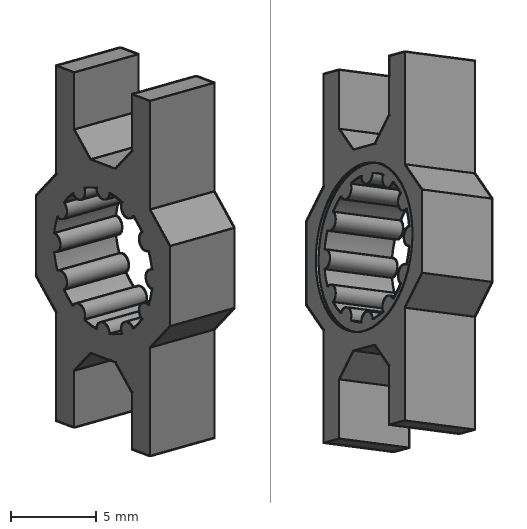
import cadquery as cq
import math

height = 22.0
width = 12.0
thickness = 5.0
octagon_sides = 8

arms_width = 8.4
slot_width = 5.15
slot_chamfer = 1.47
slot_floor = width / 2

bore_radius = 4.4
rib_radius = 0.6
rib_count = 12

recess_radius = 5.0
recess_depth = 0.2


def extrude_along_y(sketch):
    """Extrude an XZ outline, centred on the XZ plane."""
    return sketch.extrude(thickness / 2, both=True)


def octagon_body():
    """Regular octagon with flats facing X and Z."""
    flat = width / 2
    corner = flat * math.tan(math.pi / octagon_sides)
    points = [
        (flat, -corner),
        (flat, corner),
        (corner, flat),
        (-corner, flat),
        (-flat, corner),
        (-flat, -corner),
        (-corner, -flat),
        (corner, -flat),
    ]
    return extrude_along_y(cq.Workplane("XZ").polyline(points).close())


def arms_block():
    """Full-height bar from which the fork arms are formed."""
    return extrude_along_y(cq.Workplane("XZ").rect(arms_width, height))


def fork_slot(side):
    """Open slot with chamfered floor corners; side is +1 for the top, -1 for the bottom."""
    half_slot = slot_width / 2
    half_floor = half_slot - slot_chamfer
    floor_z = side * slot_floor
    wall_z = side * (slot_floor + slot_chamfer)
    end_z = side * height / 2
    points = [
        (-half_slot, end_z),
        (-half_slot, wall_z),
        (-half_floor, floor_z),
        (half_floor, floor_z),
        (half_slot, wall_z),
        (half_slot, end_z),
    ]
    return extrude_along_y(cq.Workplane("XZ").polyline(points).close())


def ribbed_bore():
    """Through bore with round ribs, centred on the bore wall, left standing."""
    bore = extrude_along_y(cq.Workplane("XZ").circle(bore_radius))
    ribs = extrude_along_y(
        cq.Workplane("XZ").polarArray(bore_radius, 0, 360, rib_count).circle(rib_radius)
    )
    return bore.cut(ribs)


def back_recess():
    """Disc that sets the bore back from the +Y face."""
    face = cq.Workplane("XZ", origin=(0, thickness / 2, 0))
    return face.circle(recess_radius).extrude(recess_depth)


result = octagon_body().union(arms_block())
for side in (1, -1):
    result = result.cut(fork_slot(side))
result = result.cut(ribbed_bore())
result = result.cut(back_recess())